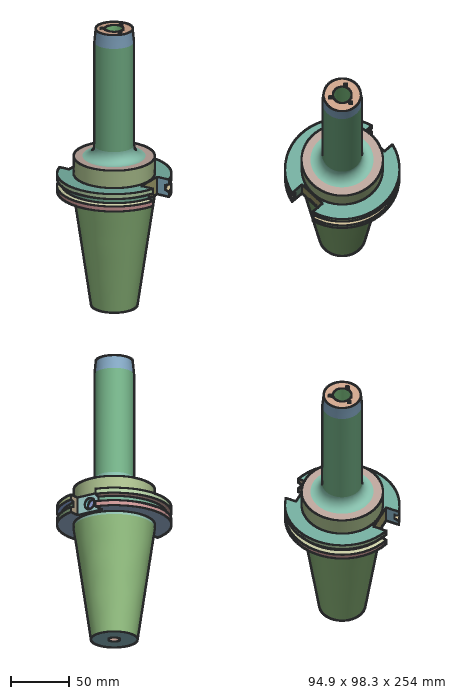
import cadquery as cq
import math

total_height = 254.0
gauge_height = 101.5
flange_bottom = 104.6
flange_thickness = 16.0
flange_top = flange_bottom + flange_thickness
flange_middle = flange_bottom + flange_thickness / 2
boss_top = 136.7
nose_height = 12.5

body_radius = 69.8 / 2
taper_ratio = 7 / 24
taper_end_radius = body_radius - gauge_height * taper_ratio / 2
flange_radius = 98.3 / 2
shank_radius = 34.3 / 2
nose_radius = 16.0
neck_fillet = 10.0

groove_depth = 4.0
groove_mouth = 6.9
groove_floor = 3.8

slot_width = 25.5
left_slot_floor = 37.8
right_slot_floor = 35.5
slot_hole_diameter = 10.0
slot_hole_depth = 5.0

through_diameter = 10.2
socket_diameter = 16.0
socket_depth = 50.8
coolant_diameter = 2.5
coolant_circle_radius = 10.5
coolant_depth = 25.5
coolant_count = 3


def revolved_body():
    """Taper, grooved flange, boss, filleted shank and conical nose."""
    groove_radius = flange_radius - groove_depth
    arc_middle_radius = shank_radius + neck_fillet * (1 - math.sqrt(0.5))
    arc_middle_height = boss_top + neck_fillet * (1 - math.sqrt(0.5))
    return (
        cq.Workplane("XZ")
        .moveTo(0, 0)
        .lineTo(taper_end_radius, 0)
        .lineTo(body_radius, gauge_height)
        .lineTo(body_radius, flange_bottom)
        .lineTo(flange_radius, flange_bottom)
        .lineTo(flange_radius, flange_middle - groove_mouth / 2)
        .lineTo(groove_radius, flange_middle - groove_floor / 2)
        .lineTo(groove_radius, flange_middle + groove_floor / 2)
        .lineTo(flange_radius, flange_middle + groove_mouth / 2)
        .lineTo(flange_radius, flange_top)
        .lineTo(body_radius, flange_top)
        .lineTo(body_radius, boss_top)
        .lineTo(shank_radius + neck_fillet, boss_top)
        .threePointArc(
            (arc_middle_radius, arc_middle_height),
            (shank_radius, boss_top + neck_fillet),
        )
        .lineTo(shank_radius, total_height - nose_height)
        .lineTo(nose_radius, total_height)
        .lineTo(0, total_height)
        .close()
        .revolve(360, (0, 0, 0), (0, 1, 0))
    )


def drive_slot(floor_distance, side):
    """Cutter from the slot floor outward; side is -1 or +1 along X."""
    center_x = side * (floor_distance + flange_radius / 2)
    return (
        cq.Workplane("XY")
        .box(flange_radius, slot_width, flange_thickness)
        .translate((center_x, 0, flange_middle))
    )


def slot_hole():
    """Blind radial hole in the floor of the -X slot."""
    return (
        cq.Workplane("YZ", origin=(-left_slot_floor, 0, flange_middle))
        .circle(slot_hole_diameter / 2)
        .extrude(slot_hole_depth)
    )


def hole_from_top(diameter, depth):
    """Axial cutter going down from the nose face."""
    return (
        cq.Workplane("XY", origin=(0, 0, total_height))
        .circle(diameter / 2)
        .extrude(-depth)
    )


def coolant_holes():
    """Small blind holes evenly spaced around the socket, one toward +Y."""
    return (
        cq.Workplane("XY", origin=(0, 0, total_height))
        .polarArray(coolant_circle_radius, 90, 360, coolant_count)
        .circle(coolant_diameter / 2)
        .extrude(-coolant_depth)
    )


result = (
    revolved_body()
    .cut(drive_slot(left_slot_floor, -1))
    .cut(drive_slot(right_slot_floor, 1))
    .cut(slot_hole())
    .cut(hole_from_top(through_diameter, total_height))
    .cut(hole_from_top(socket_diameter, socket_depth))
    .cut(coolant_holes())
)